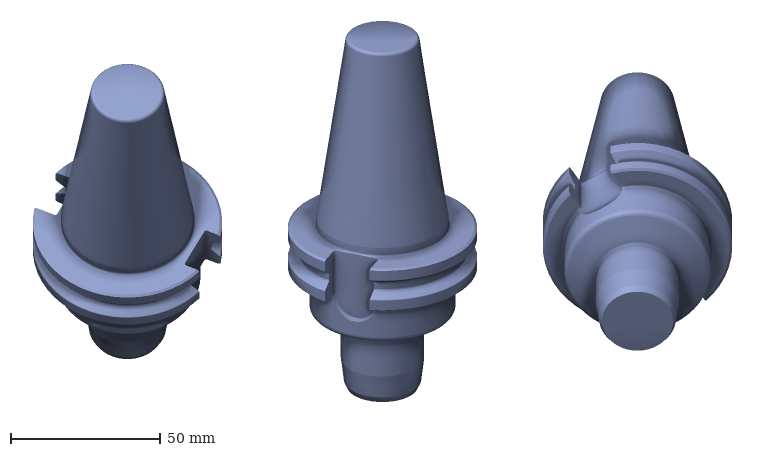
import cadquery as cq
import math


gauge_radius = 44.45 / 2
taper_length = 68.25
taper_half_slope = 7 / 48
taper_end_radius = gauge_radius - taper_length * taper_half_slope
taper_tip_fillet = 1.2

flange_radius = 63.5 / 2
flange_top = -3.18
flange_bottom = -19.05
rim_chamfer_height = 0.5
rim_chamfer_angle = math.radians(30)
taper_root_fillet = 0.8
flange_underside_fillet = 0.8
groove_center = -11.1
groove_floor_radius = 56.36 / 2
groove_floor_width = 3.1
groove_flank_angle = math.radians(30)
groove_root_fillet = 0.5
groove_mouth_fillet = 0.5

body_radius = 49.0 / 2
body_corner_fillet = 2.0
shank_radius = 28.0 / 2
shank_top = -37.9
shank_root_fillet = 1.0
shoulder_angle = math.radians(20)
shank_bottom = -52.8
nose_cone_angle = math.radians(7)
nose_cone_bottom = -61.2
nose_bottom = -63.5
nose_chamfer_angle = math.radians(25)

slot_width = 16.26
slot_end_center = -19.4
slot_floor_fillet = 0.8
deep_slot_floor = 22.6
shallow_slot_floor = 25.0

edge_match_tolerance = 0.01


def make_turned_body():
    """Half section revolved about Z, then rounded at its filleted corners."""
    rim_radius = flange_radius - rim_chamfer_height / math.tan(rim_chamfer_angle)
    flank_height = (flange_radius - groove_floor_radius) * math.tan(groove_flank_angle)
    floor_half_width = groove_floor_width / 2
    mouth_half_width = floor_half_width + flank_height
    body_bottom = shank_top + (body_radius - shank_radius) * math.tan(shoulder_angle)
    nose_cone_length = shank_bottom - nose_cone_bottom
    nose_cone_radius = shank_radius - nose_cone_length * math.tan(nose_cone_angle)
    nose_chamfer_length = nose_cone_bottom - nose_bottom
    nose_end_radius = nose_cone_radius - nose_chamfer_length * math.tan(nose_chamfer_angle)

    half_section = [
        (0, taper_length),
        (taper_end_radius, taper_length),
        (gauge_radius, 0),
        (gauge_radius, flange_top),
        (rim_radius, flange_top),
        (flange_radius, flange_top - rim_chamfer_height),
        (flange_radius, groove_center + mouth_half_width),
        (groove_floor_radius, groove_center + floor_half_width),
        (groove_floor_radius, groove_center - floor_half_width),
        (flange_radius, groove_center - mouth_half_width),
        (flange_radius, flange_bottom + rim_chamfer_height),
        (rim_radius, flange_bottom),
        (body_radius, flange_bottom),
        (body_radius, body_bottom),
        (shank_radius, shank_top),
        (shank_radius, shank_bottom),
        (nose_cone_radius, nose_cone_bottom),
        (nose_end_radius, nose_bottom),
        (0, nose_bottom),
    ]
    turned = cq.Workplane("XZ").polyline(half_section).close().revolve(360, (0, 0), (0, 1))

    corner_fillets = [
        (taper_end_radius, taper_length, taper_tip_fillet),
        (gauge_radius, flange_top, taper_root_fillet),
        (flange_radius, groove_center + mouth_half_width, groove_mouth_fillet),
        (flange_radius, groove_center - mouth_half_width, groove_mouth_fillet),
        (groove_floor_radius, groove_center + floor_half_width, groove_root_fillet),
        (groove_floor_radius, groove_center - floor_half_width, groove_root_fillet),
        (body_radius, flange_bottom, flange_underside_fillet),
        (body_radius, body_bottom, body_corner_fillet),
        (shank_radius, shank_top, shank_root_fillet),
    ]
    for radius, height, fillet in corner_fillets:
        turned = circular_edge(turned, radius, height).fillet(fillet)
    return turned


def circular_edge(turned, radius, height):
    """Select the circular edge of given radius and height on the turned body."""
    matching = []
    for edge in turned.edges("%CIRCLE").vals():
        same_radius = abs(edge.radius() - radius) < edge_match_tolerance
        same_height = abs(edge.Center().z - height) < edge_match_tolerance
        if same_radius and same_height:
            matching.append(edge)
    return turned.newObject(matching)


def make_slot_cutter(floor_distance, side):
    """Round-ended drive slot opening outward along side * X, with a filleted floor."""
    half_width = slot_width / 2
    open_top = flange_top + slot_width
    outline = (
        cq.Workplane("YZ", origin=(side * floor_distance, 0, 0))
        .moveTo(-half_width, open_top)
        .lineTo(-half_width, slot_end_center)
        .threePointArc((0, slot_end_center - half_width), (half_width, slot_end_center))
        .lineTo(half_width, open_top)
        .close()
    )
    cutter = outline.extrude(side * flange_radius)
    floor_selector = "<X" if side > 0 else ">X"
    return cutter.faces(floor_selector).edges("not >Z").fillet(slot_floor_fillet)


result = make_turned_body()
result = result.cut(make_slot_cutter(deep_slot_floor, -1))
result = result.cut(make_slot_cutter(shallow_slot_floor, 1))